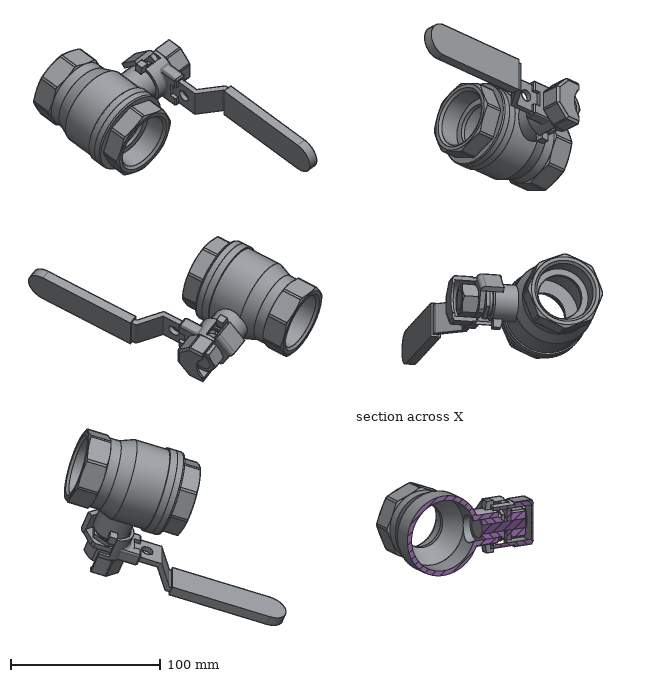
import cadquery as cq
import math


OVERALL_LENGTH = 173.2
OVERALL_DEPTH = 99.0
OCTAGON_SIDES = 8
HEX_SIDES = 6

PORT_R = 15.0
THREAD_R = 19.4
THREAD_MOUTH_R = 21.1
THREAD_MOUTH_DEPTH = 1.7
OCTAGON_R = 26.2
OCTAGON_TURNED_R = 25.8
OCTAGON_FACE_R = 23.5
OCTAGON_CHAMFER = 0.9
HOUSING_X = -39.7
NECK_X = -23.9
NECK_R = 24.0
CONE_X = -16.6
BARREL_X = -6.8
BARREL_R = 27.9
COLLAR_X = 16.6
COLLAR_DIAMETER = 58.0
COLLAR_R = COLLAR_DIAMETER / 2
JOINT_X = 21.8
COLLAR_END_X = 27.2
COLLAR_CHAMFER_X = 1.13
COLLAR_CHAMFER_R = 0.5
CAP_X = 40.2
THREAD_DEPTH = 15.6
LIP = 2.8
CHAMBER_R = 24.2
CHAMBER_CONE_END = -9.2

BOSS_R = 12.5
BOSS_TOP = 42.6
BOSS_CHAMFER = 1.0
LUG_WIDTH = 5.4
LUG_REACH = 18.0
LUG_TOP = 40.7
LUG_TIP_BOTTOM = 35.3
LUG_ROOT_BOTTOM = 34.5

STEM_R = 7.1
GLAND_R = 9.4
GLAND_BOTTOM = 29.5
GLAND_HEX_BOTTOM = 44.9
GLAND_HEX_TOP = 47.5
GLAND_HEX_R = 12.0

LEVER_T = 3.6
LEVER_BOTTOM = 48.8
LEVER_TOP = LEVER_BOTTOM + LEVER_T
LEVER_HALF = 10.2
LEVER_RAISE = 16.1
LEVER_BEND_X = 39.3
LEVER_BEND_RUN = 11.5
LEVER_BEND_R = 1.7
HEAD_FLARE = 8.1
TAB_FACE = 16.5
TAB_HALF = 8.5
TAB_BOTTOM = 36.9
TAB_BEND_R = 3.3
TAB_ANGLE = 45

GRIP_HALF = 11.6
GRIP_X = 52.3
GRIP_END = HOUSING_X + OVERALL_LENGTH
GRIP_BOTTOM = 63.4
GRIP_TOP = OVERALL_DEPTH - COLLAR_R

NUT_FLAT = 9.7
NUT_TOP = 63.5
NUT_CHAMFER_R = 9.5
NUT_CHAMFER_H = 0.9

COVER_CAVITY_R = 13.3
COVER_R = 15.6
COVER_CORNER_R = 16.6
COVER_BOTTOM = 38.3
COVER_SHOULDER = 55.0
COVER_ROOF = 67.7
COVER_TOP = 69.3
COVER_CHAMFER_H = 1.2
COVER_CHAMFER_W = 1.9
ROOF_NOTCH_R = 14.5
ROOF_NOTCH_X = -14.4
COVER_OPEN_X = -4.2
SKIRT_OPEN_X = 3.1
ARM_END = 23.7
ARM_HALF = 12.6
ARM_BOTTOM = 46.2
ARM_CHAMFER = 1.0
ARM_FILLET = 0.9
NOTCH_X = 18.7
NOTCH_HALF = 5.2
LOCK_HOLE_X = 29.0
LOCK_HOLE_DIAMETER = 8.1
CUT_REACH = 34.6


def at_height(y):
    """Workplane across the stem at height y, with local axes X and Z."""
    return cq.Workplane("XZ", origin=(0, y, 0))


def disc(radius, bottom, top):
    return at_height(bottom).circle(radius).extrude(bottom - top)


def block(x0, x1, y0, y1, half):
    """Box centred on the XY plane."""
    return cq.Workplane("XY").box(x1 - x0, y1 - y0, 2 * half, centered=False).translate((x0, y0, -half))


def round_ended(x0, x1, y0, y1, half):
    """Bar along X with its +X end rounded to a half circle."""
    arc_x = x1 - half
    return (
        at_height(y0)
        .moveTo(x0, -half)
        .lineTo(arc_x, -half)
        .threePointArc((x1, 0), (arc_x, half))
        .lineTo(x0, half)
        .close()
        .extrude(y0 - y1)
    )


def turned(points):
    """Solid of revolution about the pipe axis from (x, radius) points."""
    return cq.Workplane("XY").polyline(points).close().revolve(360, (0, 0, 0), (1, 0, 0))


def octagon_bar(x0, x1, turning_profile):
    bar = cq.Workplane("YZ", origin=(x0, 0, 0)).polygon(OCTAGON_SIDES, 2 * OCTAGON_R).extrude(x1 - x0)
    return bar.intersect(turned(turning_profile))


def thread_bore(face_x, inward):
    """Threaded socket and its mouth chamfer; inward is the X sign pointing into the valve."""
    return turned([
        (face_x, 0),
        (face_x, THREAD_MOUTH_R),
        (face_x + inward * THREAD_MOUTH_DEPTH, THREAD_R),
        (face_x + inward * THREAD_DEPTH, THREAD_R),
        (face_x + inward * THREAD_DEPTH, 0),
    ])


def make_lug(side):
    """Stop lug on one side of the boss, its underside sloping to the tip."""
    return (
        cq.Workplane("YZ", origin=(-LUG_WIDTH / 2, 0, 0))
        .polyline([
            (LUG_TOP, 0),
            (LUG_TOP, side * LUG_REACH),
            (LUG_TIP_BOTTOM, side * LUG_REACH),
            (LUG_ROOT_BOTTOM, side * BOSS_R),
            (LUG_ROOT_BOTTOM, 0),
        ])
        .close()
        .extrude(LUG_WIDTH)
    )


def make_housing():
    octagon = octagon_bar(HOUSING_X, NECK_X, [
        (HOUSING_X, 0),
        (HOUSING_X, OCTAGON_FACE_R),
        (HOUSING_X + OCTAGON_CHAMFER, OCTAGON_TURNED_R),
        (NECK_X - OCTAGON_CHAMFER, OCTAGON_TURNED_R),
        (NECK_X, NECK_R),
        (NECK_X, 0),
    ])
    shell = turned([
        (NECK_X, 0),
        (NECK_X, NECK_R),
        (CONE_X, NECK_R),
        (BARREL_X, BARREL_R),
        (COLLAR_X, BARREL_R),
        (COLLAR_X, COLLAR_R),
        (JOINT_X, COLLAR_R),
        (JOINT_X, 0),
    ])
    boss = disc(BOSS_R, 0, BOSS_TOP).faces(">Y").chamfer(BOSS_CHAMFER)
    housing = octagon.union(shell).union(boss)
    for side in (-1, 1):
        housing = housing.union(make_lug(side))
    lip_start = HOUSING_X + THREAD_DEPTH
    lip_end = lip_start + LIP
    chamber = turned([
        (lip_start, 0),
        (lip_start, PORT_R),
        (lip_end, PORT_R),
        (CHAMBER_CONE_END, CHAMBER_R),
        (JOINT_X, CHAMBER_R),
        (JOINT_X, 0),
    ])
    housing = housing.cut(thread_bore(HOUSING_X, 1)).cut(chamber)
    return housing.cut(disc(GLAND_R, 0, BOSS_TOP))


def make_end_cap():
    collar = turned([
        (JOINT_X, 0),
        (JOINT_X, COLLAR_R),
        (COLLAR_END_X - COLLAR_CHAMFER_X, COLLAR_R),
        (COLLAR_END_X, COLLAR_R - COLLAR_CHAMFER_R),
        (COLLAR_END_X, 0),
    ])
    octagon = octagon_bar(COLLAR_END_X, CAP_X, [
        (COLLAR_END_X, 0),
        (COLLAR_END_X, OCTAGON_TURNED_R),
        (CAP_X - OCTAGON_CHAMFER, OCTAGON_TURNED_R),
        (CAP_X, OCTAGON_FACE_R),
        (CAP_X, 0),
    ])
    port = turned([(JOINT_X, 0), (JOINT_X, PORT_R), (CAP_X, PORT_R), (CAP_X, 0)])
    return collar.union(octagon).cut(thread_bore(CAP_X, -1)).cut(port)


def make_stem():
    return disc(STEM_R, GLAND_BOTTOM, NUT_TOP)


def make_gland_nut():
    sleeve = disc(GLAND_R, GLAND_BOTTOM, GLAND_HEX_BOTTOM)
    hexagon = (
        at_height(GLAND_HEX_BOTTOM)
        .polygon(HEX_SIDES, 2 * GLAND_HEX_R)
        .extrude(GLAND_HEX_BOTTOM - GLAND_HEX_TOP)
        .rotate((0, 0, 0), (0, 1, 0), 90)
    )
    return sleeve.union(hexagon).cut(make_stem())


def make_lever_bar(end_x):
    """Cranked strip from the stem to end_x."""
    slope = math.atan2(LEVER_RAISE, LEVER_BEND_RUN)
    mitre = LEVER_T * math.tan(slope / 2)
    raised_x = LEVER_BEND_X + LEVER_BEND_RUN
    strip = (
        cq.Workplane("XY", origin=(0, 0, -LEVER_HALF))
        .polyline([
            (0, LEVER_BOTTOM),
            (LEVER_BEND_X, LEVER_BOTTOM),
            (raised_x, LEVER_BOTTOM + LEVER_RAISE),
            (end_x, LEVER_BOTTOM + LEVER_RAISE),
            (end_x, LEVER_TOP + LEVER_RAISE),
            (raised_x - mitre, LEVER_TOP + LEVER_RAISE),
            (LEVER_BEND_X - mitre, LEVER_TOP),
            (0, LEVER_TOP),
        ])
        .close()
        .extrude(2 * LEVER_HALF)
    )
    for bend in ((raised_x, LEVER_BOTTOM + LEVER_RAISE), (raised_x - mitre, LEVER_TOP + LEVER_RAISE)):
        strip = strip.edges(cq.selectors.NearestToPointSelector((*bend, 0))).fillet(LEVER_BEND_R)
    outline = round_ended(-LEVER_HALF, end_x, LEVER_BOTTOM, LEVER_TOP + LEVER_RAISE, LEVER_HALF)
    return strip.intersect(outline)


def from_tab(out, across):
    """(X, Z) of a point given along and across the stop tab's direction."""
    turn = math.radians(TAB_ANGLE)
    x = across * math.sin(turn) - out * math.cos(turn)
    z = across * math.cos(turn) + out * math.sin(turn)
    return (x, z)


def make_lever():
    tab_root = TAB_FACE - LEVER_T
    head = (
        at_height(LEVER_BOTTOM)
        .polyline([
            (HEAD_FLARE, LEVER_HALF),
            from_tab(tab_root, TAB_HALF),
            from_tab(tab_root, -TAB_HALF),
            (-LEVER_HALF, -HEAD_FLARE),
            (-HEAD_FLARE, -LEVER_HALF),
            (HEAD_FLARE, -LEVER_HALF),
        ])
        .close()
        .extrude(-LEVER_T)
    )
    tab = (
        cq.Workplane("XY")
        .box(LEVER_T, LEVER_TOP - TAB_BOTTOM, 2 * TAB_HALF)
        .edges("<X and >Y")
        .fillet(TAB_BEND_R)
        .translate((LEVER_T / 2 - TAB_FACE, (LEVER_TOP + TAB_BOTTOM) / 2, 0))
        .rotate((0, 0, 0), (0, 1, 0), TAB_ANGLE)
    )
    lever = make_lever_bar(GRIP_END - (GRIP_HALF - LEVER_HALF)).union(head).union(tab)
    lock_hole = disc(LOCK_HOLE_DIAMETER / 2, LEVER_BOTTOM, LEVER_TOP).translate((LOCK_HOLE_X, 0, 0))
    return lever.cut(lock_hole).cut(make_stem())


def make_grip(lever):
    return round_ended(GRIP_X, GRIP_END, GRIP_BOTTOM, GRIP_TOP, GRIP_HALF).cut(lever)


def make_lever_nut():
    corner_r = NUT_FLAT / math.cos(math.pi / HEX_SIDES)
    nut = at_height(LEVER_TOP).polygon(HEX_SIDES, 2 * corner_r).extrude(LEVER_TOP - NUT_TOP)
    turning = (
        cq.Workplane("XY")
        .polyline([
            (0, LEVER_TOP),
            (NUT_CHAMFER_R, LEVER_TOP),
            (corner_r, LEVER_TOP + NUT_CHAMFER_H),
            (corner_r, NUT_TOP - NUT_CHAMFER_H),
            (NUT_CHAMFER_R, NUT_TOP),
            (0, NUT_TOP),
        ])
        .close()
        .revolve(360, (0, 0, 0), (0, 1, 0))
    )
    return nut.intersect(turning).cut(make_stem())


def arm_root_edges():
    """Selects the edges where the arm leaves the skirt, below the shoulder."""
    low = (COVER_R / 2, ARM_BOTTOM - ARM_FILLET, -ARM_HALF - ARM_FILLET)
    high = (COVER_R + ARM_FILLET, COVER_SHOULDER - ARM_FILLET / 2, ARM_HALF + ARM_FILLET)
    return cq.selectors.BoxSelector(low, high)


def make_locking_cover(lever):
    hood = (
        at_height(COVER_SHOULDER)
        .polygon(OCTAGON_SIDES, 2 * COVER_R / math.cos(math.pi / OCTAGON_SIDES))
        .extrude(COVER_SHOULDER - COVER_TOP)
        .rotate((0, 0, 0), (0, 1, 0), 180 / OCTAGON_SIDES)
        .faces(">Y").chamfer(COVER_CHAMFER_H, COVER_CHAMFER_W)
        .intersect(disc(COVER_CORNER_R, COVER_SHOULDER, COVER_TOP))
    )
    skirt = disc(COVER_R, COVER_BOTTOM, COVER_SHOULDER)
    arm = block(0, ARM_END, ARM_BOTTOM, COVER_SHOULDER, ARM_HALF)
    arm = arm.edges("|X or >X").chamfer(ARM_CHAMFER)
    base = skirt.union(arm)
    base = base.edges(arm_root_edges()).fillet(ARM_FILLET)
    cover = hood.union(base)
    cover = cover.cut(disc(COVER_CAVITY_R, COVER_BOTTOM, COVER_ROOF))
    roof_notch = disc(ROOF_NOTCH_R, COVER_ROOF, COVER_TOP).translate((ROOF_NOTCH_X, 0, 0))
    cover = cover.cut(roof_notch)
    cover = cover.cut(block(-CUT_REACH, COVER_OPEN_X, COVER_BOTTOM, COVER_TOP, CUT_REACH))
    cover = cover.cut(block(-CUT_REACH, SKIRT_OPEN_X, COVER_BOTTOM, LEVER_TOP, CUT_REACH))
    cover = cover.cut(block(NOTCH_X, ARM_END, ARM_BOTTOM, COVER_SHOULDER, NOTCH_HALF))
    return cover.cut(lever)


housing = make_housing()
end_cap = make_end_cap()
stem = make_stem()
gland_nut = make_gland_nut()
lever = make_lever()
grip = make_grip(lever)
lever_nut = make_lever_nut()
locking_cover = make_locking_cover(lever)

result = cq.Compound.makeCompound([
    housing.val(),
    end_cap.val(),
    stem.val(),
    gland_nut.val(),
    lever.val(),
    grip.val(),
    lever_nut.val(),
    locking_cover.val(),
])